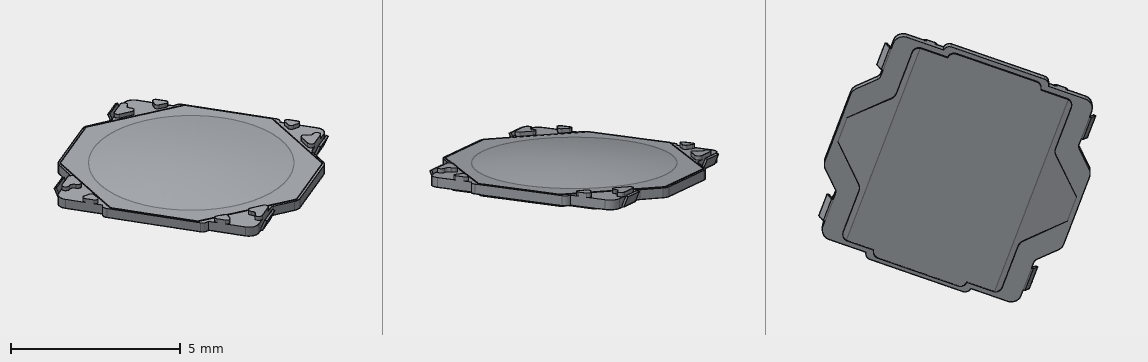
import cadquery as cq
import math

body_bottom = 0.075
body_top = 0.375
cover_top = 0.4
pad_top = 0.5
dome_top = 0.6

body_half_x = 3.75
body_length_y = 7.03
body_half_y = body_length_y / 2
diagonal_sum = 4.99
body_corner_radius = 0.315
land_half_x = 1.65
land_corner_radius = 0.195
tab_half_x = 3.11
tab_half_y = 3.345
tab_corner_radius = 0.315
notch_fillet = 0.17

cover_half_x = 3.675
cover_half_y = 3.465
cover_side_half_y = 1.215
cover_end_half_x = 1.36
dome_radius = 3.03

base_half_x = 2.5
base_half_y = 3.18
base_corner_radius = 0.21
base_land_half_x = 1.46
base_land_half_y = 3.375
base_nose_half_x = 3.6
base_diagonal_sum = 4.0
base_notch_fillet = 0.3
nose_slope_start = 2.325

large_pad_radius = 0.11
large_pad_x = tab_half_x - large_pad_radius
large_pad_low_y = 2.175
large_pad_high_y = 2.715
large_pad_reach = 0.285

small_pad_radius = 0.1
small_pad_edge_y = tab_half_y - small_pad_radius
small_pad_centres = [(1.91, small_pad_edge_y), (2.18, small_pad_edge_y), (2.08, 3.1)]

clip_low_y = 2.14
clip_high_y = 2.86
clip_profile = [
    (tab_half_x, body_bottom),
    (3.165, 0.08),
    (3.31, 0.41),
    (3.24, 0.44),
    (tab_half_x, 0.14),
]


def block(half_x, half_y, bottom, top):
    """Box centred on the Z axis between two heights."""
    return (
        cq.Workplane("XY").workplane(offset=bottom)
        .rect(2 * half_x, 2 * half_y).extrude(top - bottom)
    )


def octagon(half_x, half_y, side_half_y, end_half_x, bottom, top):
    """Octagonal plate given the half lengths of its X and Y facing sides."""
    points = [
        (half_x, side_half_y), (end_half_x, half_y),
        (-end_half_x, half_y), (-half_x, side_half_y),
        (-half_x, -side_half_y), (-end_half_x, -half_y),
        (end_half_x, -half_y), (half_x, -side_half_y),
    ]
    return (
        cq.Workplane("XY").workplane(offset=bottom)
        .polyline(points).close().extrude(top - bottom)
    )


def upright_edges_at(half_x, half_y, height):
    """Selector for the four upright edges at (+-half_x, +-half_y)."""
    reach = 0.01
    selector = None
    for sx in (-1, 1):
        for sy in (-1, 1):
            x = sx * half_x
            y = sy * half_y
            box = cq.selectors.BoxSelector(
                (x - reach, y - reach, height - reach), (x + reach, y + reach, height + reach)
            )
            selector = box if selector is None else selector + box
    return selector


def in_four_corners(shape):
    """The shape together with its mirror images in X and Y."""
    pair = shape.union(shape.mirror("YZ"))
    return pair.union(pair.mirror("XZ"))


def make_body():
    side_half_y = diagonal_sum - body_half_x
    end_half_x = diagonal_sum - tab_half_y
    plate = octagon(body_half_x, tab_half_y, side_half_y, end_half_x, body_bottom, body_top)
    middle = (body_bottom + body_top) / 2
    plate = plate.edges(upright_edges_at(body_half_x, side_half_y, middle)).fillet(body_corner_radius)
    tabs = block(tab_half_x, tab_half_y, body_bottom, body_top).edges("|Z").fillet(tab_corner_radius)
    body = plate.union(tabs)
    notch_y = diagonal_sum - tab_half_x
    body = body.edges(upright_edges_at(tab_half_x, notch_y, middle)).fillet(notch_fillet)
    lands = block(land_half_x, body_half_y, body_bottom, body_top).edges("|Z").fillet(land_corner_radius)
    return body.union(lands)


def make_dome():
    rise = dome_top - cover_top
    sphere_radius = (dome_radius ** 2 + rise ** 2) / (2 * rise)
    mid_x = dome_radius / 2
    mid_z = dome_top - sphere_radius + math.sqrt(sphere_radius ** 2 - mid_x ** 2)
    return (
        cq.Workplane("XZ")
        .moveTo(0, body_top)
        .lineTo(dome_radius, body_top)
        .lineTo(dome_radius, cover_top)
        .threePointArc((mid_x, mid_z), (0, dome_top))
        .close()
        .revolve(360, (0, 0, 0), (0, 1, 0))
    )


def make_base():
    """Bottom plate whose two pointed noses rise to meet the body."""
    core = block(base_half_x, base_half_y, 0, body_bottom).edges("|Z").fillet(base_corner_radius)
    nose_half_y = base_diagonal_sum - base_nose_half_x
    root_half_y = base_half_y - base_corner_radius
    noses = octagon(
        base_nose_half_x, root_half_y, nose_half_y, base_diagonal_sum - root_half_y, 0, body_bottom
    )
    base = core.union(noses)
    notch_y = base_diagonal_sum - base_half_x
    base = base.edges(upright_edges_at(base_half_x, notch_y, body_bottom / 2)).fillet(base_notch_fillet)
    lands = block(base_land_half_x, base_land_half_y, 0, body_bottom)
    base = base.union(lands.edges("|Z").fillet(base_corner_radius))
    rise = (
        cq.Workplane("XZ")
        .polyline([(nose_slope_start, 0), (base_nose_half_x, 0), (base_nose_half_x, body_bottom)])
        .close()
        .extrude(base_half_y, both=True)
    )
    return base.cut(rise).cut(rise.mirror("YZ"))


def make_large_pad():
    r = large_pad_radius
    diagonal = r * math.sqrt(0.5)
    outer_x = large_pad_x + r
    waist_x = large_pad_x - r
    lobe_x = large_pad_x - large_pad_reach
    lobe_y = large_pad_low_y + large_pad_reach
    hollow_radius = large_pad_high_y - (lobe_y + r)
    hollow_x = waist_x - hollow_radius
    hollow_mid = hollow_radius * math.sqrt(0.5)
    return (
        cq.Workplane("XY").workplane(offset=body_top)
        .moveTo(outer_x, large_pad_low_y)
        .lineTo(outer_x, large_pad_high_y)
        .threePointArc((large_pad_x, large_pad_high_y + r), (waist_x, large_pad_high_y))
        .threePointArc(
            (hollow_x + hollow_mid, large_pad_high_y - hollow_mid), (hollow_x, lobe_y + r)
        )
        .lineTo(lobe_x, lobe_y + r)
        .threePointArc((lobe_x - r, lobe_y), (lobe_x - diagonal, lobe_y - diagonal))
        .lineTo(large_pad_x - diagonal, large_pad_low_y - diagonal)
        .threePointArc((large_pad_x, large_pad_low_y - r), (outer_x, large_pad_low_y))
        .close()
        .extrude(pad_top - body_top)
    )


def make_small_pad():
    return (
        cq.Workplane("XY").workplane(offset=body_top)
        .polyline(small_pad_centres).close()
        .offset2D(small_pad_radius, "arc")
        .extrude(pad_top - body_top)
    )


def make_clip():
    return (
        cq.Workplane("XZ").workplane(offset=-clip_high_y)
        .polyline(clip_profile).close()
        .extrude(clip_high_y - clip_low_y)
    )


cover = octagon(
    cover_half_x, cover_half_y, cover_side_half_y, cover_end_half_x, body_top, cover_top
)
result = make_body().union(make_base()).union(cover).union(make_dome())
for corner_feature in (make_large_pad(), make_small_pad(), make_clip()):
    result = result.union(in_four_corners(corner_feature))